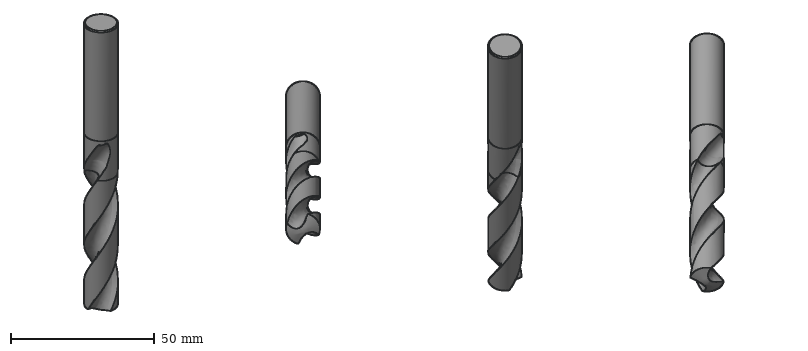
import cadquery as cq
import math

overall_length = 118
shank_diameter = 12.0
body_diameter = 11.9
shank_start = 72.8
joint_height = 56.4
shank_chamfer = 0.5
point_angle = 140

flute_count = 2
flute_lead = 62.5
flute_helix_end = 62.1
flute_runout_end = 71.6
edge_angle_at_tip = -222.5
flute_opening = 84
wall_inner_radius = 3.9
runout_side_shift = 5.7

body_radius = body_diameter / 2
shank_radius = shank_diameter / 2
point_height = body_radius / math.tan(math.radians(point_angle / 2))
cutter_reach = 2 * shank_radius
shank_step = shank_radius - body_radius

rim_x = body_radius * math.cos(math.radians(flute_opening))
rim_y = body_radius * math.sin(math.radians(flute_opening))
flute_radius = ((wall_inner_radius - rim_x) ** 2 + rim_y ** 2) / (2 * rim_y)
arc_center_distance = math.hypot(wall_inner_radius, flute_radius)
web_radius = arc_center_distance - flute_radius
floor_x = web_radius * wall_inner_radius / arc_center_distance
floor_y = web_radius * flute_radius / arc_center_distance
floor_angle = math.degrees(math.atan2(floor_y, floor_x))


def edge_angle(height):
    """Direction of the cutting edge at a given height, in degrees."""
    return edge_angle_at_tip + 360 * height / flute_lead


def flute_section(height):
    """Flute cross-section, its cutting wall turned to the helix position at this height."""
    return (
        cq.Workplane("XY")
        .transformed(offset=(0, 0, height), rotate=(0, 0, edge_angle(height)))
        .moveTo(cutter_reach, 0)
        .lineTo(wall_inner_radius, 0)
        .threePointArc((floor_x, -floor_y), (wall_inner_radius, -2 * flute_radius))
        .lineTo(cutter_reach, -2 * flute_radius)
        .close()
    )


def helical_flute():
    return flute_section(0).twistExtrude(flute_helix_end, 360 * flute_helix_end / flute_lead)


def flute_runout():
    """Continues the flute above its helix while it curves outward through the surface."""
    direction = math.radians(edge_angle(flute_helix_end) - floor_angle)
    outward = cq.Vector(math.cos(direction), math.sin(direction), 0)
    sideways = cq.Vector(-math.sin(direction), math.cos(direction), 0)
    rise = cq.Vector(0, 0, flute_runout_end - flute_helix_end)
    floor_start = outward * web_radius + cq.Vector(0, 0, flute_helix_end)
    exit_distance = math.sqrt((flute_radius + body_radius) ** 2 - runout_side_shift ** 2)
    exit_depth = exit_distance - arc_center_distance
    along = rise + sideways * runout_side_shift
    floor_end = floor_start + along + outward * exit_depth
    path_edge = cq.Edge.makeSpline(
        [floor_start, floor_end], tangents=[along, along + outward * (2 * exit_depth)]
    )
    path = cq.Workplane(cq.Wire.assembleEdges([path_edge]))
    return flute_section(flute_helix_end).sweep(path)


def cut_flutes(body, cutter):
    for index in range(flute_count):
        body = body.cut(cutter.rotate((0, 0, 0), (0, 0, 1), index * 360 / flute_count))
    return body


def make_cutting_body():
    """Conical point and fluted length up to the joint."""
    blank = (
        cq.Workplane("XZ")
        .lineTo(body_radius, point_height)
        .lineTo(body_radius, joint_height)
        .lineTo(0, joint_height)
        .close()
        .revolve(360, (0, 0, 0), (0, 1, 0))
    )
    return cut_flutes(blank, helical_flute())


def make_shank_body():
    """Neck with the flute runouts, and the plain chamfered shank."""
    blank = (
        cq.Workplane("XZ")
        .moveTo(0, joint_height)
        .lineTo(body_radius, joint_height)
        .lineTo(body_radius, shank_start - shank_step)
        .lineTo(shank_radius, shank_start)
        .lineTo(shank_radius, overall_length - shank_chamfer)
        .lineTo(shank_radius - shank_chamfer, overall_length)
        .lineTo(0, overall_length)
        .close()
        .revolve(360, (0, 0, 0), (0, 1, 0))
    )
    return cut_flutes(cut_flutes(blank, helical_flute()), flute_runout())


cutting_body = make_cutting_body()
shank_body = make_shank_body()

result = cq.Compound.makeCompound([cutting_body.val(), shank_body.val()])